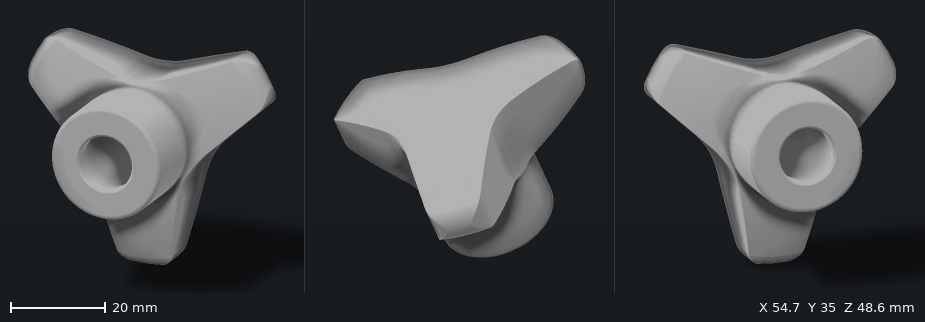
import cadquery as cq
import math

ARM_COUNT = 3
FIRST_ARM_ANGLE = -90
ARM_LENGTH = 30.0
ARM_TAPER = math.radians(12)
TIP_HALF_WIDTH = 5.4
TIP_CORNER_RADIUS = 5.0
VALLEY_RADIUS = 15.5

BACK_HEIGHT = 8.75
BACK_RADIUS = 87.4
FRONT_HEIGHT = 9.8
FRONT_RADIUS = 73.2
RIM_RADIUS = 29.9
RIM_START_RADIUS = 27.5

TOTAL_HEIGHT = 35.0
HUB_RADIUS = 25.0 / 2
HUB_EDGE_FILLET = 1.0
NECK_FILLET = 2.5
BORE_RADIUS = 12.0 / 2
BORE_CHAMFER = 0.5
BORE_DEPTH = 20.0
DRILL_POINT_ANGLE = math.radians(118)

HUB_FACE_Y = BACK_HEIGHT - TOTAL_HEIGHT


def polar(radius, angle):
    return radius * math.cos(angle), radius * math.sin(angle)


def dome_height(crown, dome_radius, radius):
    """Height of a spherical dome at a distance from its axis."""
    return crown - dome_radius + math.sqrt(dome_radius**2 - radius**2)


def revolve_about_y(profile):
    return profile.revolve(360, (0, 0, 0), (0, 1, 0))


def star_prism():
    """Star outline extruded along Y, with rounded tips and valleys."""
    half_pitch = math.pi / ARM_COUNT
    flank_width_at_axis = TIP_HALF_WIDTH + ARM_LENGTH * math.tan(ARM_TAPER)
    valley_distance = flank_width_at_axis / (
        math.sin(half_pitch) + math.cos(half_pitch) * math.tan(ARM_TAPER)
    )
    corner_distance = math.hypot(ARM_LENGTH, TIP_HALF_WIDTH)
    corner_angle = math.atan2(TIP_HALF_WIDTH, ARM_LENGTH)

    outline = []
    for arm in range(ARM_COUNT):
        direction = math.radians(FIRST_ARM_ANGLE) + 2 * half_pitch * arm
        outline.append(polar(corner_distance, direction - corner_angle))
        outline.append(polar(corner_distance, direction + corner_angle))
        outline.append(polar(valley_distance, direction + half_pitch))

    prism = cq.Workplane("XZ").polyline(outline).close().extrude(TOTAL_HEIGHT, both=True)
    mid_radius = (valley_distance + corner_distance) / 2

    def axis_distance(edge):
        center = edge.Center()
        return math.hypot(center.x, center.z)

    corner_edges = prism.edges("|Y").vals()
    valley_edges = [edge for edge in corner_edges if axis_distance(edge) < mid_radius]
    tip_edges = [edge for edge in corner_edges if axis_distance(edge) > mid_radius]
    prism = prism.newObject(valley_edges).fillet(VALLEY_RADIUS)
    return prism.newObject(tip_edges).fillet(TIP_CORNER_RADIUS)


def lens():
    """Head before the arms are cut out: two domes joined by a rounded rim."""
    mid = RIM_START_RADIUS / 2
    back_mid = dome_height(BACK_HEIGHT, BACK_RADIUS, mid)
    back_rim = dome_height(BACK_HEIGHT, BACK_RADIUS, RIM_START_RADIUS)
    front_mid = -dome_height(FRONT_HEIGHT, FRONT_RADIUS, mid)
    front_rim = -dome_height(FRONT_HEIGHT, FRONT_RADIUS, RIM_START_RADIUS)
    profile = (
        cq.Workplane("XY")
        .moveTo(0, BACK_HEIGHT)
        .threePointArc((mid, back_mid), (RIM_START_RADIUS, back_rim))
        .threePointArc((RIM_RADIUS, 0), (RIM_START_RADIUS, front_rim))
        .threePointArc((mid, front_mid), (0, -FRONT_HEIGHT))
        .close()
    )
    return revolve_about_y(profile)


def hub():
    """Cylindrical hub with a concave neck flaring out to the front dome."""
    arc_x = HUB_RADIUS + NECK_FILLET
    dome_center_y = FRONT_RADIUS - FRONT_HEIGHT
    arc_y = dome_center_y - math.sqrt((FRONT_RADIUS + NECK_FILLET) ** 2 - arc_x**2)
    contact_ratio = FRONT_RADIUS / (FRONT_RADIUS + NECK_FILLET)
    contact_x = arc_x * contact_ratio
    contact_y = dome_center_y + (arc_y - dome_center_y) * contact_ratio
    contact_angle = math.atan2(contact_y - arc_y, contact_x - arc_x)
    dx, dy = polar(NECK_FILLET, (contact_angle + math.pi) / 2)
    profile = (
        cq.Workplane("XY")
        .moveTo(0, 0)
        .lineTo(0, HUB_FACE_Y)
        .lineTo(HUB_RADIUS, HUB_FACE_Y)
        .lineTo(HUB_RADIUS, arc_y)
        .threePointArc((arc_x + dx, arc_y + dy), (contact_x, contact_y))
        .lineTo(contact_x, 0)
        .close()
    )
    return revolve_about_y(profile).faces("<Y").edges().fillet(HUB_EDGE_FILLET)


def bore():
    """Blind drilled hole with a chamfered mouth and a conical end."""
    end_y = HUB_FACE_Y + BORE_DEPTH
    point_y = end_y + BORE_RADIUS / math.tan(DRILL_POINT_ANGLE / 2)
    profile = cq.Workplane("XY").polyline([
        (0, HUB_FACE_Y),
        (BORE_RADIUS + BORE_CHAMFER, HUB_FACE_Y),
        (BORE_RADIUS, HUB_FACE_Y + BORE_CHAMFER),
        (BORE_RADIUS, end_y),
        (0, point_y),
    ]).close()
    return revolve_about_y(profile)


result = lens().union(hub()).intersect(star_prism()).cut(bore())